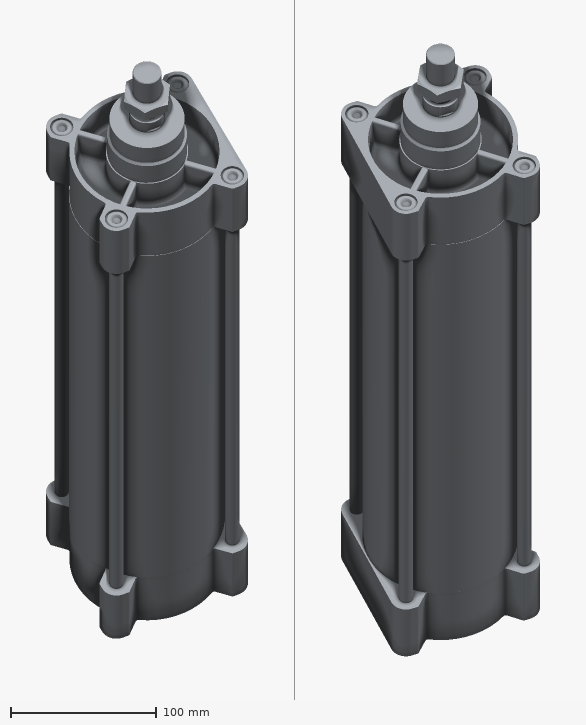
import cadquery as cq
import math

total_height = 551.5
rear_cap_bottom = 4.0
cap_height = 48.5
front_cap_top = 462.5
lower_collar_top = 483.0
collar_top = 499.5
rod_shoulder_top = 510.0
nut_bottom = 519.0
nut_height = 10.0
front_cap_bottom = front_cap_top - cap_height
rear_cap_top = rear_cap_bottom + cap_height

cap_width = 110.0
cap_diameter = 107.0
barrel_diameter = 107.5
lug_width = 22.0
lug_edge_fillet = 1.5
lug_root_fillet = 2.0
rod_spacing = 88.0
pocket_diameter = 100.0
pocket_hub_diameter = 57.0
pocket_floor_diameter = 96.0
pocket_depth = 22.0
pocket_floor_fillet = 3.5
rib_width = 5.0
rib_top_fillet = 1.5
half_width = cap_width / 2
corner_radius = (cap_width - rod_spacing) / 2

collar_diameter = 55.0
upper_collar_diameter = 52.0
collar_chamfer = 1.5

tie_rod_diameter = 10.0
counterbore_diameter = 16.0
counterbore_depth = 2.0
screw_head_diameter = 15.0
screw_head_height = 1.5
screw_head_chamfer = 1.0
socket_diameter = 8.0
socket_floor_diameter = 5.5
socket_depth = 1.5

rod_diameter = 25.0
rod_flats = 22.0
thread_diameter = 20.0
thread_chamfer = 0.5
neck_diameter = 19.0
neck_height = 3.5
flat_margin = 1.0
nut_flats = 30.5
nut_chamfer_reach = 1.0

lug_tip_distance = math.hypot(half_width, half_width - lug_width / math.sqrt(2))
lug_points = [(x * rod_spacing / 2, y * rod_spacing / 2) for x in (-1, 1) for y in (-1, 1)]


def cylinder(diameter, bottom, top):
    return cq.Workplane("XY").workplane(offset=bottom).circle(diameter / 2).extrude(top - bottom)


def cone(bottom_diameter, top_diameter, bottom, top):
    return (
        cq.Workplane("XY")
        .workplane(offset=bottom)
        .circle(bottom_diameter / 2)
        .workplane(offset=top - bottom)
        .circle(top_diameter / 2)
        .loft()
    )


def diagonal_bars(width, length, bottom, height, top_fillet=0):
    """Two crossed bars along the diagonals of the cap, with their long top edges rounded if asked."""
    bar = cq.Workplane("XY").box(length, width, height, centered=(True, True, False))
    if top_fillet:
        bar = bar.faces(">Z").edges("|X").fillet(top_fillet)
    bar = bar.translate((0, 0, bottom)).rotate((0, 0, 0), (0, 0, 1), 45)
    return bar.union(bar.rotate((0, 0, 0), (0, 0, 1), 90))


def make_cap(bottom):
    """A round cap with four corner lugs, filled out to a straight edge on the +Y side."""
    square = (
        cq.Workplane("XY")
        .workplane(offset=bottom)
        .rect(cap_width, cap_width)
        .extrude(cap_height)
        .edges("|Z")
        .fillet(corner_radius)
    )
    lugs = diagonal_bars(lug_width, 2 * cap_width, bottom, cap_height).intersect(square)
    flange = (
        cq.Workplane("XY")
        .workplane(offset=bottom)
        .center(0, half_width / 2)
        .rect(rod_spacing, half_width)
        .extrude(cap_height)
    ).intersect(square)
    cap = cylinder(cap_diameter, bottom, bottom + cap_height).union(lugs).union(flange)
    cap = fillet_lug_edges(cap, lug_tip_distance, lug_edge_fillet)
    return fillet_lug_edges(cap, cap_diameter / 2, lug_root_fillet)


def fillet_lug_edges(cap, distance, radius):
    """Round the upright edges of the cap where a lug side is at this distance from the axis."""
    edges = []
    for edge in cap.edges("|Z").vals():
        center = edge.Center()
        off_diagonal = abs(abs(center.x) - abs(center.y)) / math.sqrt(2)
        on_lug_side = math.isclose(off_diagonal, lug_width / 2, abs_tol=0.05)
        if on_lug_side and math.isclose(math.hypot(center.x, center.y), distance, abs_tol=0.05):
            edges.append(edge)
    return cap.newObject(edges).fillet(radius)


def make_pocket():
    """Ring-shaped pocket with a tapered outer wall, divided by four round-topped diagonal ribs."""
    floor = front_cap_top - pocket_depth
    bowl = cone(pocket_floor_diameter, pocket_diameter, floor, front_cap_top)
    ring = bowl.cut(cylinder(pocket_hub_diameter, floor, front_cap_top))
    ribs = diagonal_bars(rib_width, cap_width, floor, pocket_depth, rib_top_fillet)
    return ring.cut(ribs).faces("<Z").edges().fillet(pocket_floor_fillet)


def make_screw_recess():
    """The space left in a lug above a countersunk-socket screw head."""
    floor = front_cap_top - counterbore_depth
    head_top = floor + screw_head_height
    head = cylinder(screw_head_diameter, floor, head_top).faces(">Z").chamfer(screw_head_chamfer)
    socket = cone(socket_floor_diameter, socket_diameter, head_top - socket_depth, head_top)
    return cylinder(counterbore_diameter, floor, front_cap_top).cut(head).union(socket)


def make_housing():
    housing = make_cap(rear_cap_bottom).union(make_cap(front_cap_bottom))
    housing = housing.union(cylinder(barrel_diameter, rear_cap_top, front_cap_bottom))
    housing = housing.cut(make_pocket())
    rear_collar = cylinder(collar_diameter, 0, rear_cap_bottom).faces("<Z").chamfer(collar_chamfer)
    lower_collar = cylinder(collar_diameter, front_cap_top, lower_collar_top)
    lower_collar = lower_collar.faces(">Z").chamfer(collar_chamfer)
    upper_collar = cylinder(upper_collar_diameter, lower_collar_top, collar_top)
    housing = housing.union(rear_collar).union(lower_collar).union(upper_collar)
    tie_rod = cylinder(tie_rod_diameter, rear_cap_top, front_cap_bottom)
    screw_recess = make_screw_recess()
    for x, y in lug_points:
        housing = housing.union(tie_rod.translate((x, y, 0)))
        housing = housing.cut(screw_recess.translate((x, y, 0)))
    return housing.cut(cylinder(rod_diameter, front_cap_bottom, collar_top))


def make_rod():
    rod = cylinder(rod_diameter, front_cap_bottom, rod_shoulder_top)
    flats_bottom = collar_top + flat_margin
    flats_top = rod_shoulder_top - flat_margin
    flat_stretch = (
        cq.Workplane("XY")
        .workplane(offset=flats_bottom)
        .rect(rod_diameter, rod_diameter)
        .rect(rod_flats, rod_diameter)
        .extrude(flats_top - flats_bottom)
    )
    rod = rod.cut(flat_stretch)
    neck_top = rod_shoulder_top + neck_height
    thread = cylinder(thread_diameter, neck_top, total_height).faces("<Z or >Z").chamfer(thread_chamfer)
    return rod.union(cylinder(neck_diameter, rod_shoulder_top, neck_top)).union(thread)


def make_nut():
    corner_diameter = nut_flats / math.cos(math.pi / 6)
    nut = (
        cq.Workplane("XY")
        .workplane(offset=nut_bottom)
        .transformed(rotate=(0, 0, 30))
        .polygon(6, corner_diameter)
        .extrude(nut_height)
    )
    round_blank = cylinder(corner_diameter, nut_bottom, nut_bottom + nut_height)
    round_blank = round_blank.faces("<Z or >Z").chamfer(nut_chamfer_reach, (corner_diameter - nut_flats) / 2)
    return nut.intersect(round_blank).cut(cylinder(thread_diameter, nut_bottom, total_height))


housing = make_housing()
rod = make_rod()
nut = make_nut()

result = cq.Compound.makeCompound([housing.val(), rod.val(), nut.val()])